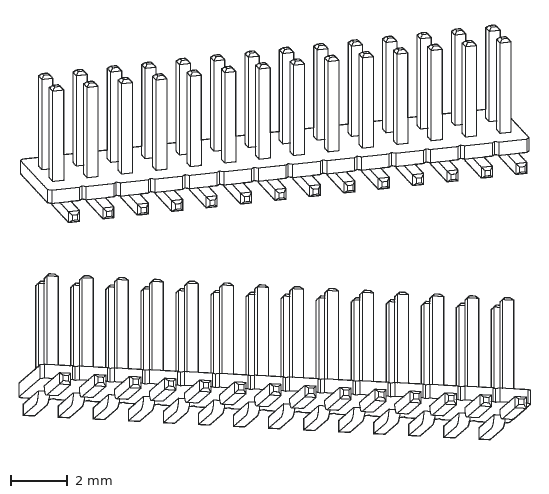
import cadquery as cq

body_length = 17.78
positions = 14
pitch = body_length / positions
body_width = 3.4
body_height = 0.5
notch = 0.12

foot_reach = 2.15
total_height = 4.4
pin = 0.41
tip_bevel = 0.1

body_bottom = pin
row_x = pitch / 2
bend_x = row_x - pin / 2
bend_radius = pin


def segment_center(index):
    return (index - (positions - 1) / 2) * pitch


def make_segment(y):
    """One pitch of the insulating body with its vertical corners bevelled."""
    return (
        cq.Workplane("XY", origin=(0, y, body_bottom))
        .rect(body_width, pitch)
        .extrude(body_height)
        .edges("|Z")
        .chamfer(notch)
    )


def make_pin():
    """Right-hand L-shaped pin: post up through the body, foot pointing to +X."""
    foot_end = row_x + foot_reach
    profile = (
        cq.Workplane("XZ")
        .moveTo(bend_x, total_height)
        .lineTo(bend_x, bend_radius)
        .radiusArc((bend_x + bend_radius, 0), -bend_radius)
        .lineTo(foot_end, 0)
        .lineTo(foot_end, pin)
        .lineTo(bend_x + pin, pin)
        .lineTo(bend_x + pin, total_height)
        .close()
        .extrude(pin / 2, both=True)
    )
    bevelled_post = profile.faces(">Z").chamfer(tip_bevel)
    return bevelled_post.faces(">X").chamfer(tip_bevel)


right_pin = make_pin()
left_pin = right_pin.mirror("YZ")

result = cq.Workplane("XY")
for index in range(positions):
    y = segment_center(index)
    result = result.union(make_segment(y))
    for side_pin in (left_pin, right_pin):
        result = result.union(side_pin.translate((0, y, 0)))